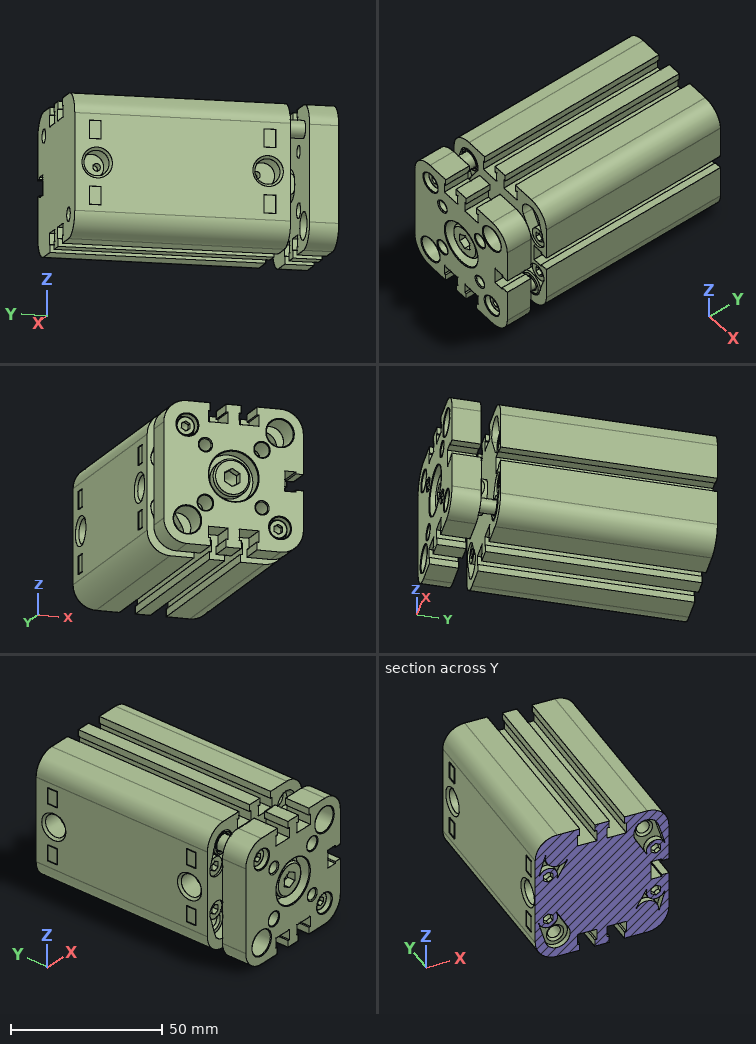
import cadquery as cq
import math


side = 49.0
half_side = side / 2
corner_radius = 8.0
total_length = 90.2
plate_thickness = 10.0
gap_length = 6.5
body_front = plate_thickness + gap_length
corner_offset = 16.2

slot_offset = 5.4
slot_mouth_width = 5.5
slot_width = 6.9
slot_lip = 2.7
slot_depth = 6.6

plate_bore_diameter = 9.5
plate_bore_chamfer = 0.3
pin_offset = 9.9
threaded_hole_diameter = 4.2
threaded_hole_chamfer = 0.4
pin_hole_diameter = 5.2
pin_hole_chamfer = 0.3
screw_bore_diameter = 7.5
screw_head_diameter = 6.3
screw_head_chamfer = 0.2
screw_bore_depth = 4.0
screw_head_recess = 1.7
screw_hex = 2.9
screw_hex_depth = 1.4
bore_chamfer = 0.3
centre_bore_diameter = 17.2
centre_bore_depth = 5.4
centre_head_diameter = 12.9
centre_head_chamfer = 0.6
centre_head_recess = 1.5
centre_hex = 5.3
centre_hex_depth = 3.0
drill_point_angle = 90.0

piston_rod_diameter = 12.0
piston_rod_flats = 9.9
flat_start = 1.1
rod_end_fillet = 1.2
large_guide_diameter = 6.0
small_guide_diameter = 5.0
collar_chamfer = 0.5
guide_clearance = 0.4
guide_clearance_depth = 0.5

through_hole_diameter = 4.7
through_hole_chamfer = 0.8
pocket_depth = 4.0
pocket_corner_diameter = 9.0
tie_bore_diameter = 7.0
tie_x = 19.7
tie_z = 8.4
tie_head_recess = 0.7
tie_hex = 3.25
tie_hex_depth = 2.7

port_inset = 7.7
port_diameter = 8.6
port_chamfer = 0.9
port_depth = 8.0
air_hole_diameter = 2.5
air_hole_shift = 1.9
air_hole_depth = 4.0
label_inset = 7.0
label_length = 4.0
label_height = 6.1
label_z = 11.1
label_depth = 0.3


def disc(x, z, y_start, length, diameter):
    """Cylinder along +Y."""
    return cq.Workplane("XZ", origin=(x, y_start, z)).circle(diameter / 2).extrude(-length)


def hex_socket(x, z, y_start, across_flats, depth):
    """Hexagonal socket, points up and down, ending in a cone that spans the whole hexagon."""
    point_radius = across_flats / 2 / math.cos(math.pi / 6)
    cone_height = point_radius / math.tan(math.radians(drill_point_angle / 2))
    prism = (
        cq.Workplane("XZ", origin=(x, y_start, z))
        .transformed(rotate=(0, 0, 90))
        .polygon(6, 2 * point_radius)
        .extrude(-depth - cone_height)
    )
    cone = cq.Solid.makeCone(
        point_radius, 0, cone_height, cq.Vector(x, y_start + depth, z), cq.Vector(0, 1, 0)
    )
    pencil = disc(x, z, y_start, depth, 2 * point_radius).union(cq.Workplane(cone))
    return prism.intersect(pencil)


def chamfered_bore(x, z, y_start, depth, diameter, chamfer):
    """Bore along +Y whose mouth is widened by a 45 degree chamfer."""
    mouth = cq.Workplane(
        cq.Solid.makeCone(
            diameter / 2 + chamfer, diameter / 2, chamfer, cq.Vector(x, y_start, z), cq.Vector(0, 1, 0)
        )
    )
    return disc(x, z, y_start, depth, diameter).union(mouth)


def add_socket_screw(part, x, z, face_y, base_y, diameter, chamfer, hex_size, hex_depth):
    """Screw head standing from base_y towards -Y up to face_y, with its hexagonal socket."""
    head = disc(x, z, face_y, base_y - face_y, diameter)
    if chamfer:
        head = head.faces("<Y").chamfer(chamfer)
    return part.union(head).cut(hex_socket(x, z, face_y, hex_size, hex_depth))


def profile_bar(y_start, length):
    """Rounded square bar with two T-slots above and below and one on the +X side."""
    centre_y = y_start + length / 2
    bar = cq.Workplane("XY").box(side, length, side).edges("|Y").fillet(corner_radius)
    mouth = cq.Workplane("XY").box(slot_mouth_width, length, slot_depth)
    channel_height = slot_depth - slot_lip
    channel = cq.Workplane("XY").box(slot_width, length, channel_height)
    slot = mouth.translate((0, 0, half_side - slot_depth / 2)).union(
        channel.translate((0, 0, half_side - slot_lip - channel_height / 2))
    )
    for angle, shifts in ((0, (-slot_offset, slot_offset)), (180, (-slot_offset, slot_offset)), (90, (0,))):
        for shift in shifts:
            bar = bar.cut(slot.translate((shift, 0, 0)).rotate((0, 0, 0), (0, 1, 0), angle))
    return bar.translate((0, centre_y, 0))


def make_plate():
    plate = profile_bar(0, plate_thickness)
    for sign in (-1, 1):
        corner = sign * corner_offset
        pin = sign * pin_offset
        plate = plate.cut(
            chamfered_bore(corner, corner, 0, plate_thickness, plate_bore_diameter, plate_bore_chamfer)
        )
        plate = plate.cut(chamfered_bore(pin, pin, 0, plate_thickness, pin_hole_diameter, pin_hole_chamfer))
        plate = plate.cut(
            chamfered_bore(pin, -pin, 0, plate_thickness, threaded_hole_diameter, threaded_hole_chamfer)
        )
        plate = plate.cut(
            chamfered_bore(corner, -corner, 0, screw_bore_depth, screw_bore_diameter, bore_chamfer)
        )
        plate = add_socket_screw(
            plate, corner, -corner, screw_head_recess, screw_bore_depth,
            screw_head_diameter, screw_head_chamfer, screw_hex, screw_hex_depth,
        )
    plate = plate.cut(chamfered_bore(0, 0, 0, centre_bore_depth, centre_bore_diameter, bore_chamfer))
    return add_socket_screw(
        plate, 0, 0, centre_head_recess, centre_bore_depth,
        centre_head_diameter, centre_head_chamfer, centre_hex, centre_hex_depth,
    )


def corner_pocket(x_sign, z_sign):
    """Corner bore and tie screw bore joined by their common tangents."""
    corner_x = x_sign * corner_offset
    corner_z = z_sign * corner_offset
    run_x = x_sign * tie_x - corner_x
    run_z = z_sign * tie_z - corner_z
    distance = math.hypot(run_x, run_z)
    corner_r = pocket_corner_diameter / 2
    tie_r = tie_bore_diameter / 2
    cosine = (corner_r - tie_r) / distance
    sine = math.sqrt(1 - cosine**2)
    pocket = (
        cq.Workplane("XZ")
        .moveTo(corner_r * cosine, corner_r * sine)
        .lineTo(distance + tie_r * cosine, tie_r * sine)
        .threePointArc((distance + tie_r, 0), (distance + tie_r * cosine, -tie_r * sine))
        .lineTo(corner_r * cosine, -corner_r * sine)
        .threePointArc((-corner_r, 0), (corner_r * cosine, corner_r * sine))
        .close()
        .extrude(-pocket_depth)
    )
    heading = math.degrees(math.atan2(run_z, run_x))
    return pocket.rotate((0, 0, 0), (0, 1, 0), -heading).translate((corner_x, body_front, corner_z))


def cut_ports(body):
    """Port, air hole and two label recesses near each end of the body."""
    for end_y, inward in ((body_front, 1), (total_length, -1)):
        port_y = end_y + inward * port_inset
        face = cq.Workplane("YZ", origin=(-half_side, port_y, 0))
        port = face.circle(port_diameter / 2).extrude(port_depth)
        mouth = cq.Solid.makeCone(
            port_diameter / 2 + port_chamfer, port_diameter / 2, port_chamfer,
            cq.Vector(-half_side, port_y, 0), cq.Vector(1, 0, 0),
        )
        air_hole = (
            face.center(inward * air_hole_shift, 0)
            .circle(air_hole_diameter / 2)
            .extrude(port_depth + air_hole_depth)
        )
        labels = (
            cq.Workplane("YZ", origin=(-half_side, end_y + inward * label_inset, 0))
            .pushPoints([(0, -label_z), (0, label_z)])
            .rect(label_length, label_height)
            .extrude(label_depth)
        )
        body = body.cut(port).cut(cq.Workplane(mouth)).cut(air_hole).cut(labels)
    return body


def make_body():
    body_length = total_length - body_front
    body = profile_bar(body_front, body_length)
    pocket_floor = body_front + pocket_depth
    for x_sign in (-1, 1):
        for z_sign in (-1, 1):
            body = body.cut(corner_pocket(x_sign, z_sign))
            body = add_socket_screw(
                body, x_sign * tie_x, z_sign * tie_z, body_front + tie_head_recess, pocket_floor,
                tie_bore_diameter, 0, tie_hex, tie_hex_depth,
            )
    for sign in (-1, 1):
        corner = sign * corner_offset
        body = body.cut(
            chamfered_bore(
                corner, corner, pocket_floor, body_length - pocket_depth,
                through_hole_diameter, through_hole_chamfer,
            )
        )
    return cut_ports(body)


def make_piston_rod():
    """Rod between plate and body with two wrench flats and a rounded front end."""
    radius = piston_rod_diameter / 2
    rod = (
        cq.Workplane("XY")
        .moveTo(0, plate_thickness)
        .lineTo(radius, plate_thickness)
        .lineTo(radius, body_front)
        .lineTo(0, body_front)
        .close()
        .revolve(360, (0, 0, 0), (0, 1, 0))
        .faces("<Y")
        .edges()
        .fillet(rod_end_fillet)
    )
    flat = piston_rod_flats / 2
    shoulder = body_front - flat_start
    step = radius - flat
    flat_cut = (
        cq.Workplane("XY", origin=(0, 0, -radius))
        .moveTo(flat, plate_thickness)
        .lineTo(radius, plate_thickness)
        .lineTo(radius, shoulder)
        .lineTo(flat, shoulder - step)
        .close()
        .extrude(piston_rod_diameter)
    )
    return rod.cut(flat_cut).cut(flat_cut.mirror("YZ"))


def add_guide_rod(part, x, z, diameter):
    """Guide rod from the plate into a collar that fills the corner bore, flush with the body."""
    collar = disc(x, z, body_front, pocket_depth, pocket_corner_diameter)
    collar = collar.faces("<Y").chamfer(collar_chamfer)
    clearance = disc(x, z, body_front, guide_clearance_depth, diameter + 2 * guide_clearance)
    rod = disc(x, z, plate_thickness, gap_length + guide_clearance_depth, diameter)
    return part.union(collar).cut(clearance).union(rod)


result = make_body().union(make_plate()).union(make_piston_rod())
result = add_guide_rod(result, -corner_offset, corner_offset, large_guide_diameter)
result = add_guide_rod(result, corner_offset, -corner_offset, small_guide_diameter)